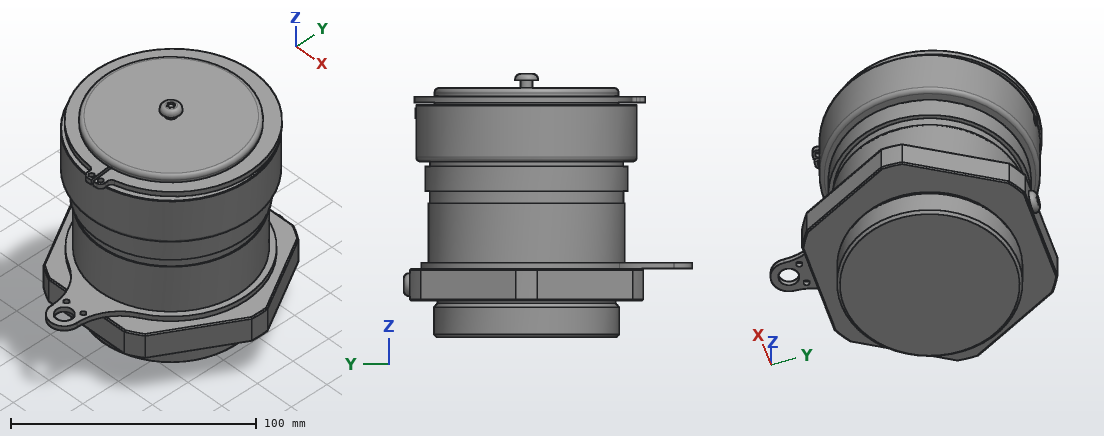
import cadquery as cq
import math

BASE_TOP = 12.2
NECK_BOTTOM = 13.8
NUT_BOTTOM = 14.9
NUT_THICK = 13.0
WASHER_THICK = 2.5
BODY_TOP = 54.6
BAND_BOTTOM = 59.5
BAND_TOP = 69.5
CAP_BOTTOM = 71.45
CAP_TOP = 94.6
RING_BOTTOM = 95.45
RING_THICK = 2.5
RING_GROOVE_WIDTH = 2.65
LID_TOP = 101.5
SCREW_TOP = 107.23

BASE_DIA = 75.5
NECK_DIA = 72.65
BODY_DIA = 80.0
GROOVE_DIA = 79.0
BAND_DIA = 82.5
UPPER_GROOVE_DIA = 78.8
CAP_DIA = 89.9
LID_DIA = 75.0
RING_GROOVE_DIA = 72.0
BASE_CHAMFER = 1.2
CAP_FILLET = 1.9
CAP_CHAMFER = 0.3
LID_FILLET = 2.0

NUT_FLATS = 95.0
NUT_CORNER_DIA = 105.0
NUT_CHAMFER = 0.6

WASHER_DIA = 86.0
TAB_Y = -60.0
TAB_RADIUS = 7.5
TAB_HOLE_DIA = 8.5
TAB_BLEND_RADIUS = 25.0
PIN_HOLE_DIA = 2.5
PIN_HOLE_X = 5.0
PIN_HOLE_Y = -54.0

RING_RADIUS = 44.25
RING_OFFSET = 1.45
RING_TURN = 4.8
RING_GAP = 1.2
EAR_HOLE_X = 2.5
EAR_HOLE_Y = -45.9
EAR_HOLE_DIA = 2.5
EAR_RADIUS = 2.4
EAR_FILLET = 2.0

HEAD_DIA = 9.5
HEAD_FLAT_DIA = 5.0
HEAD_HEIGHT = 2.75
HEAD_RIM = 0.2
DOME_RADIUS = 2.4
SHANK_DIA = 5.0
SOCKET_FLATS = 3.0
SOCKET_DEPTH = 1.0
SOCKET_TIP = 1.8
SIDE_SCREW_X = 12.5
SIDE_SCREW_TOP = 50.05
SIDE_SHANK_LENGTH = 5.0

CAP_PIN_DIA = 4.0
CAP_PIN_Z = 91.2
CAP_PIN_PROUD = 0.4
CAP_PIN_LENGTH = 20.0

NUT_TOP = NUT_BOTTOM + NUT_THICK


def disc(diameter, bottom, top):
    """Cylinder on the part axis between two heights."""
    return cq.Workplane("XY").workplane(offset=bottom).circle(diameter / 2).extrude(top - bottom)


def turned_body():
    shoulder = (BASE_DIA - NECK_DIA) / 2
    base = disc(BASE_DIA, 0, NECK_BOTTOM)
    base = base.faces("<Z").edges().chamfer(BASE_CHAMFER)
    base = base.faces(">Z").edges().chamfer(NECK_BOTTOM - BASE_TOP, shoulder)
    cap = disc(CAP_DIA, CAP_BOTTOM, CAP_TOP)
    cap = cap.faces("<Z").edges().fillet(CAP_FILLET)
    cap = cap.faces(">Z").edges().chamfer(CAP_CHAMFER)
    lid = disc(LID_DIA, CAP_TOP, LID_TOP).faces(">Z").edges().fillet(LID_FILLET)
    groove = disc(LID_DIA, RING_BOTTOM, RING_BOTTOM + RING_GROOVE_WIDTH)
    lid = lid.cut(groove.cut(disc(RING_GROOVE_DIA, CAP_TOP, LID_TOP)))
    body = base.union(disc(NECK_DIA, NECK_BOTTOM, NUT_BOTTOM))
    body = body.union(disc(BODY_DIA, NUT_BOTTOM, BODY_TOP))
    body = body.union(disc(GROOVE_DIA, BODY_TOP, BAND_BOTTOM))
    body = body.union(disc(BAND_DIA, BAND_BOTTOM, BAND_TOP))
    body = body.union(disc(UPPER_GROOVE_DIA, BAND_TOP, CAP_BOTTOM))
    return body.union(cap).union(lid)


def hex_nut():
    """Hexagon with flats toward +Y and -Y and its corners turned round."""
    across_corners = NUT_FLATS / math.cos(math.radians(30))
    hexagon = cq.Workplane("XY").workplane(offset=NUT_BOTTOM)
    hexagon = hexagon.polygon(6, across_corners).extrude(NUT_THICK)
    nut = hexagon.intersect(disc(NUT_CORNER_DIA, NUT_BOTTOM, NUT_TOP))
    return nut.faces("<Z or >Z").edges().chamfer(NUT_CHAMFER)


def tab_washer():
    radius = WASHER_DIA / 2
    blend_x = TAB_RADIUS + TAB_BLEND_RADIUS
    blend_reach = radius + TAB_BLEND_RADIUS
    blend_y = -math.sqrt(blend_reach ** 2 - blend_x ** 2)
    join_x = blend_x * radius / blend_reach
    join_y = blend_y * radius / blend_reach
    join_angle = math.atan2(join_y - blend_y, join_x - blend_x)
    mid_angle = (join_angle + math.pi) / 2
    mid_x = blend_x + TAB_BLEND_RADIUS * math.cos(mid_angle)
    mid_y = blend_y + TAB_BLEND_RADIUS * math.sin(mid_angle)
    outline = (
        cq.Workplane("XY").workplane(offset=NUT_TOP)
        .moveTo(join_x, join_y)
        .threePointArc((mid_x, mid_y), (TAB_RADIUS, blend_y))
        .lineTo(TAB_RADIUS, TAB_Y)
        .threePointArc((0, TAB_Y - TAB_RADIUS), (-TAB_RADIUS, TAB_Y))
        .lineTo(-TAB_RADIUS, blend_y)
        .threePointArc((-mid_x, mid_y), (-join_x, join_y))
        .threePointArc((0, radius), (join_x, join_y))
        .close()
    )
    washer = outline.extrude(WASHER_THICK)
    washer = washer.cut(
        cq.Workplane("XY").workplane(offset=NUT_TOP)
        .center(0, TAB_Y).circle(TAB_HOLE_DIA / 2).extrude(WASHER_THICK)
    )
    pin_holes = (
        cq.Workplane("XY").workplane(offset=NUT_TOP)
        .pushPoints([(-PIN_HOLE_X, PIN_HOLE_Y), (PIN_HOLE_X, PIN_HOLE_Y)])
        .circle(PIN_HOLE_DIA / 2).extrude(WASHER_THICK)
    )
    return washer.cut(pin_holes)


def snap_ring():
    plane = cq.Workplane("XY").workplane(offset=RING_BOTTOM)
    ring = plane.center(0, RING_OFFSET).circle(RING_RADIUS).extrude(RING_THICK)
    ear_outer = EAR_HOLE_X + EAR_RADIUS
    ear_root = -LID_DIA / 2
    ears = (
        plane.moveTo(-ear_outer, ear_root)
        .lineTo(-ear_outer, EAR_HOLE_Y)
        .radiusArc((-EAR_HOLE_X, EAR_HOLE_Y - EAR_RADIUS), -EAR_RADIUS)
        .lineTo(EAR_HOLE_X, EAR_HOLE_Y - EAR_RADIUS)
        .radiusArc((ear_outer, EAR_HOLE_Y), -EAR_RADIUS)
        .lineTo(ear_outer, ear_root)
        .close()
        .extrude(RING_THICK)
    )
    ring = ring.union(ears)
    corner_y = RING_OFFSET - math.sqrt(RING_RADIUS ** 2 - ear_outer ** 2)
    mid_height = RING_BOTTOM + RING_THICK / 2
    for side in (-1, 1):
        corner = cq.selectors.NearestToPointSelector((side * ear_outer, corner_y, mid_height))
        ring = ring.edges("|Z").edges(corner).fillet(EAR_FILLET)
    ear_holes = (
        plane.pushPoints([(-EAR_HOLE_X, EAR_HOLE_Y), (EAR_HOLE_X, EAR_HOLE_Y)])
        .circle(EAR_HOLE_DIA / 2).extrude(RING_THICK)
    )
    gap_length = -(EAR_HOLE_Y - EAR_RADIUS)
    gap = plane.center(0, -gap_length / 2).rect(RING_GAP, gap_length).extrude(RING_THICK)
    ring = ring.cut(ear_holes).cut(gap)
    return ring.rotate((0, 0, 0), (0, 0, 1), RING_TURN)


def button_screw(shank_length):
    """Hex-socket screw along Z with the crown of its head at Z = 0."""
    rim_radius = HEAD_DIA / 2
    flat_radius = HEAD_FLAT_DIA / 2
    dome_height = HEAD_HEIGHT - HEAD_RIM
    head = (
        cq.Workplane("XZ")
        .moveTo(0, 0)
        .lineTo(flat_radius, 0)
        .radiusArc((rim_radius, -dome_height), DOME_RADIUS)
        .lineTo(rim_radius, -HEAD_HEIGHT)
        .lineTo(SHANK_DIA / 2, -HEAD_HEIGHT)
        .lineTo(SHANK_DIA / 2, -HEAD_HEIGHT - shank_length)
        .lineTo(0, -HEAD_HEIGHT - shank_length)
        .close()
        .revolve(360, (0, 0, 0), (0, 1, 0))
    )
    corner_dia = SOCKET_FLATS / math.cos(math.radians(30))
    socket = cq.Workplane("XY").polygon(6, corner_dia).extrude(-SOCKET_DEPTH)
    cone_base = cq.Vector(0, 0, -SOCKET_DEPTH)
    down = cq.Vector(0, 0, -1)
    cone = cq.Solid.makeCone(SOCKET_FLATS / 2, 0, SOCKET_TIP - SOCKET_DEPTH, cone_base, down)
    socket = socket.union(cq.Workplane(cone))
    return head.cut(socket)


def top_screw():
    return button_screw(SCREW_TOP - HEAD_HEIGHT - LID_TOP).translate((0, 0, SCREW_TOP))


def side_screw():
    """Screw in the nut's +Y flat, at mid-thickness."""
    screw = button_screw(SIDE_SHANK_LENGTH).rotate((0, 0, 0), (1, 0, 0), -90)
    return screw.translate((SIDE_SCREW_X, SIDE_SCREW_TOP, NUT_BOTTOM + NUT_THICK / 2))


def cap_pin():
    pin_end = CAP_DIA / 2 + CAP_PIN_PROUD
    pin = cq.Workplane("XZ").circle(CAP_PIN_DIA / 2).extrude(CAP_PIN_LENGTH)
    return pin.translate((0, pin_end, CAP_PIN_Z))


result = turned_body()
for piece in (hex_nut(), tab_washer(), snap_ring(), top_screw(), side_screw(), cap_pin()):
    result = result.union(piece)